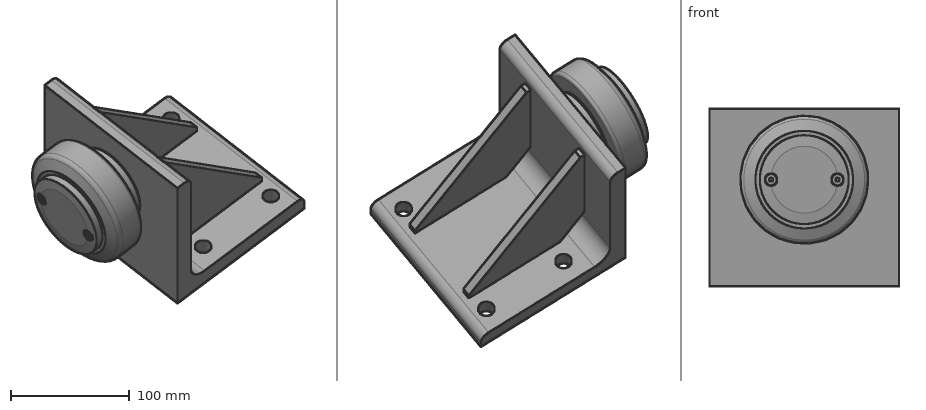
import cadquery as cq
import math

bracket_width = 160.0
bracket_side = 150.0
plate_thickness = 16.0
inner_corner_radius = 16.0
free_edge_radius = 8.0

mount_hole_diameter = 13.84
mount_hole_x = 60.0
mount_hole_ys = (50.0, 130.0)

rib_thickness = 8.0
rib_inner_face_x = 35.0
rib_end_setback = 13.9
rib_end_height = 4.4
rib_corner_relief = 25.5

axis_height = 90.0

hub_root_diameter = 70.5
hub_diameter = 71.0
hub_neck_diameter = 70.5
hub_root_end = 0.6
hub_end = 14.5

roller_diameter = 108.0
roller_edge_diameter = 107.6
roller_back = 15.5
roller_back_fillet = 3.0
roller_tread_end = 38.6
roller_shoulder_radius = 4.6
roller_front = 46.9
roller_cone_angle = 22.5

cover_diameter = 75.0
cover_edge = 53.8
cover_face = 54.9
cover_face_diameter = 56.4

screw_x = 28.0
screw_recess_diameter = 10.4
screw_recess_depth = 1.6
screw_head_diameter = 9.75
screw_gap_depth = 2.6
screw_center_diameter = 3.2
screw_center_depth = 2.0


def make_bracket():
    """L-section extruded across the full width, with rounded free edges and inner corner."""
    profile = (
        cq.Workplane("YZ")
        .polyline([
            (0, 0),
            (bracket_side, 0),
            (bracket_side, plate_thickness),
            (plate_thickness, plate_thickness),
            (plate_thickness, bracket_side),
            (0, bracket_side),
        ])
        .close()
        .extrude(bracket_width / 2, both=True)
    )
    inner_corner = cq.selectors.NearestToPointSelector((0, plate_thickness, plate_thickness))
    foot_edge = cq.selectors.NearestToPointSelector((0, bracket_side, plate_thickness))
    top_edge = cq.selectors.NearestToPointSelector((0, plate_thickness, bracket_side))
    return (
        profile.edges(inner_corner).fillet(inner_corner_radius)
        .edges(foot_edge).fillet(free_edge_radius)
        .edges(top_edge).fillet(free_edge_radius)
    )


def make_rib(start_x):
    """Triangular rib with blunt ends and a relief across the inner corner."""
    rib_end = bracket_side - rib_end_setback
    blunt_end = plate_thickness + rib_end_height
    relief_end = plate_thickness + rib_corner_relief
    return (
        cq.Workplane("YZ", origin=(start_x, 0, 0))
        .polyline([
            (relief_end, plate_thickness),
            (rib_end, plate_thickness),
            (rib_end, blunt_end),
            (blunt_end, rib_end),
            (plate_thickness, rib_end),
            (plate_thickness, relief_end),
        ])
        .close()
        .extrude(rib_thickness)
    )


def make_mount_holes():
    """Through holes in the foot, two on each side of the ribs."""
    centers = [(x, y) for x in (-mount_hole_x, mount_hole_x) for y in mount_hole_ys]
    return cq.Workplane("XY").pushPoints(centers).circle(mount_hole_diameter / 2).extrude(plate_thickness)


def make_roller():
    """Hub, crowned roller and cover revolved as one body about the roller axis."""
    roller_edge_radius = roller_edge_diameter / 2
    tread_start = roller_back + roller_back_fillet
    tread_middle = (tread_start + roller_tread_end) / 2
    fillet_mid = roller_back_fillet * (1 - math.sqrt(0.5))
    cone_angle = math.radians(roller_cone_angle)
    shoulder_end_radius = roller_edge_radius - roller_shoulder_radius * (1 - math.sin(cone_angle))
    shoulder_end = roller_tread_end + roller_shoulder_radius * math.cos(cone_angle)
    front_face_radius = shoulder_end_radius - (roller_front - shoulder_end) / math.tan(cone_angle)
    profile = (
        cq.Workplane("XY")
        .lineTo(hub_root_diameter / 2, 0)
        .lineTo(hub_root_diameter / 2, -hub_root_end)
        .lineTo(hub_diameter / 2, -hub_root_end)
        .lineTo(hub_diameter / 2, -hub_end)
        .lineTo(hub_neck_diameter / 2, -hub_end)
        .lineTo(hub_neck_diameter / 2, -roller_back)
        .lineTo(roller_edge_radius - roller_back_fillet, -roller_back)
        .threePointArc(
            (roller_edge_radius - fillet_mid, -roller_back - fillet_mid),
            (roller_edge_radius, -tread_start),
        )
        .threePointArc((roller_diameter / 2, -tread_middle), (roller_edge_radius, -roller_tread_end))
        .tangentArcPoint((shoulder_end_radius, -shoulder_end), relative=False)
        .lineTo(front_face_radius, -roller_front)
        .lineTo(cover_diameter / 2, -roller_front)
        .lineTo(cover_diameter / 2, -cover_edge)
        .lineTo(cover_face_diameter / 2, -cover_face)
        .lineTo(0, -cover_face)
        .close()
    )
    return profile.revolve(360, (0, 0), (0, 1)).translate((0, 0, axis_height))


def make_screw_recess(x):
    """Recess above a sunk screw head, with the narrow gap around it and the small hole in its middle."""
    face = cq.Workplane("XZ", origin=(x, -cover_face, axis_height))
    recess = face.circle(screw_recess_diameter / 2).extrude(-screw_gap_depth)
    head = face.circle(screw_head_diameter / 2).extrude(-screw_gap_depth)
    clearance = face.circle(screw_head_diameter / 2).extrude(-screw_recess_depth)
    center_hole = face.circle(screw_center_diameter / 2).extrude(-screw_recess_depth - screw_center_depth)
    return recess.cut(head).union(clearance).union(center_hole)


result = make_bracket()
for rib_x in (-rib_inner_face_x - rib_thickness, rib_inner_face_x):
    result = result.union(make_rib(rib_x))
result = result.cut(make_mount_holes())
result = result.union(make_roller())
for recess_x in (-screw_x, screw_x):
    result = result.cut(make_screw_recess(recess_x))